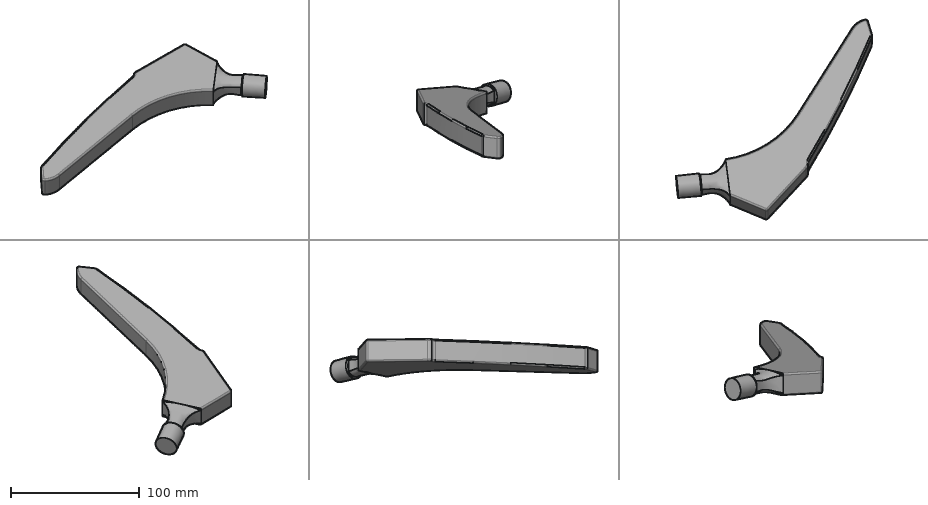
import cadquery as cq
import math

thickness = 17.8
edge_round = 1.4
corner_round = 1.8
half_thickness = thickness / 2

top_y = 183.3
top_left = (12.7, top_y)
shoulder_top = (44.1, top_y)
shoulder_bottom = (60.7, 156.0)
curve_end = (26.5, 97.1)
tip_right = (19.8, 11.7)
tip_right_middle = (17.8, 5.1)
tip_right_end = (14.2, 0.5)
tip_bottom = (12.7, 0.0)
tip_left_end = (11.0, 0.8)
tip_left = (3.4, 9.9)
stem_left_bottom = (2.5, 12.3)
stem_left_middle = (0.0, 75.1)
stem_left_top = (1.4, 130.7)
notch_middle = (1.2, 132.5)
notch_top = (0.4, 133.7)
heel_middle = (0.2, 135.3)
heel_top = (0.5, 137.2)

shoulder_dx = shoulder_bottom[0] - shoulder_top[0]
shoulder_dy = shoulder_bottom[1] - shoulder_top[1]
shoulder_width = math.hypot(shoulder_dx, shoulder_dy)
axis_direction = (-shoulder_dy / shoulder_width, shoulder_dx / shoulder_width, 0)
across_direction = (shoulder_dx / shoulder_width, shoulder_dy / shoulder_width, 0)
shoulder_centre = (
    (shoulder_top[0] + shoulder_bottom[0]) / 2,
    (shoulder_top[1] + shoulder_bottom[1]) / 2,
    0,
)

neck_radius = 7.5
neck_half_width = 6.5
head_base_radius = half_thickness
head_end_radius = 8.7
flare_end = 13.8
collar_start = 20.8
head_start = 21.8
head_end = 39.5
joint_overlap = 1.0


def flat_half_height(half_width):
    """Half height of the flats on a round neck cut to the given half width."""
    return math.sqrt(neck_radius**2 - half_width**2)


neck_stations = [
    (0.0, shoulder_width / 2, 7.0, half_thickness),
    (2.0, 12.7, 6.3, 8.5),
    (5.0, 9.7, 5.3, 8.0),
    (8.9, 7.5, 4.2, neck_radius),
    (flare_end, neck_half_width, flat_half_height(neck_half_width), neck_radius),
    (head_start + joint_overlap, neck_half_width, flat_half_height(neck_half_width), neck_radius),
]


def make_blade():
    outline = (
        cq.Workplane("XY", origin=(0, 0, -half_thickness))
        .moveTo(*tip_right)
        .lineTo(*curve_end)
        .tangentArcPoint(shoulder_bottom, relative=False)
        .lineTo(*shoulder_top)
        .lineTo(*top_left)
        .lineTo(*heel_top)
        .threePointArc(heel_middle, notch_top)
        .threePointArc(notch_middle, stem_left_top)
        .threePointArc(stem_left_middle, stem_left_bottom)
        .lineTo(*tip_left)
        .lineTo(*tip_left_end)
        .threePointArc(tip_bottom, tip_right_end)
        .threePointArc(tip_right_middle, tip_right)
        .close()
    )
    blade = outline.extrude(thickness)
    blade = blade.edges(cq.selectors.NearestToPointSelector((*top_left, 0))).fillet(corner_round)
    shoulder_mid = cq.Vector(*shoulder_centre)
    rounded_edges = [
        edge
        for edge in blade.faces("|Z").edges().vals()
        if math.hypot(*(edge.Center() - shoulder_mid).toTuple()[:2]) > edge_round
    ]
    return blade.newObject(rounded_edges).fillet(edge_round)


def neck_section(distance, half_width, flat, crown):
    """Closed section with two straight sides and a curved crown above and below."""
    origin = tuple(c + distance * a for c, a in zip(shoulder_centre, axis_direction))
    plane = cq.Plane(origin, across_direction, axis_direction)
    return (
        cq.Workplane(plane)
        .moveTo(-half_width, -flat)
        .threePointArc((0, -crown), (half_width, -flat))
        .lineTo(half_width, flat)
        .threePointArc((0, crown), (-half_width, flat))
        .close()
        .wire()
        .val()
    )


def make_neck():
    neck = cq.Solid.makeLoft([neck_section(*station) for station in neck_stations])
    return cq.Workplane(neck)


def make_head():
    profile_plane = cq.Plane(shoulder_centre, across_direction, (0, 0, 1))
    return (
        cq.Workplane(profile_plane)
        .moveTo(0, collar_start)
        .lineTo(neck_radius, collar_start)
        .lineTo(head_base_radius, head_start)
        .lineTo(head_end_radius, head_end)
        .lineTo(0, head_end)
        .close()
        .revolve(360, (0, 0), (0, 1))
    )


result = make_blade().union(make_neck()).union(make_head())